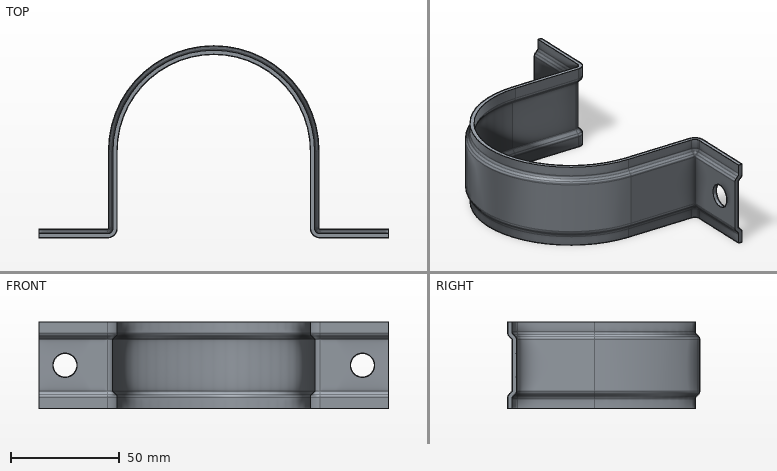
import cadquery as cq
import math

overall_length = 161.0
strap_width = 40.0
thickness = 2.0
band_offset = 2.1
rim_inner_radius = 44.5
foot_depth = 40.0
rim_width = 5.2
step_angle = 45.0
step_radius = 2.0
step_inner_radius = 0.4
corner_inner_radius = 0.4
hole_diameter = 11.0
hole_end_distance = 12.0

half_length = overall_length / 2
half_width = strap_width / 2
front_y = -foot_depth
rim_bend_radius = corner_inner_radius + thickness + band_offset
step_rise = band_offset / math.tan(math.radians(step_angle))
corner_shift = thickness * math.tan(math.radians(step_angle / 2))
back_corner_z = half_width - rim_width
front_corner_z = back_corner_z - corner_shift


def face_outline(y, corner_z):
    """Lower to upper corner points (y, z) of one face of the strip, whose rims lie at y."""
    upper = [(y + band_offset, corner_z - step_rise), (y, corner_z), (y, half_width)]
    lower = [(py, -pz) for py, pz in reversed(upper)]
    return lower + upper


def round_corners(section, points, radius):
    """Fillet the section corners nearest to the given (y, z) points."""
    for y, z in points:
        corner = cq.selectors.NearestToPointSelector((y, z, 0))
        section.reset().vertices(corner).fillet(radius)


def strip_section():
    """Cross-section of the strip at the left foot end, with all step bends rounded."""
    front = face_outline(front_y, front_corner_z)
    back = face_outline(front_y + thickness, back_corner_z)
    section = cq.Sketch().polygon(front + back[::-1] + front[:1])

    _, front_rim_low, front_band_low, front_band_high, front_rim_high, _ = front
    back_step_corners = back[1:-1]
    round_corners(section, [front_rim_low, front_rim_high] + back_step_corners, step_radius)
    round_corners(section, [front_band_low, front_band_high], step_inner_radius)
    return cq.Workplane("YZ", origin=(-half_length, 0, 0)).placeSketch(section.reset())


def strap_path():
    """Line along the front and bore faces of the rims, from foot over the half circle to foot."""
    bend_x = rim_inner_radius + rim_bend_radius
    bend_y = front_y + rim_bend_radius
    bend_mid_x = bend_x - rim_bend_radius * math.sqrt(0.5)
    bend_mid_y = bend_y - rim_bend_radius * math.sqrt(0.5)
    return (
        cq.Workplane("XY")
        .moveTo(-half_length, front_y)
        .lineTo(-bend_x, front_y)
        .threePointArc((-bend_mid_x, bend_mid_y), (-rim_inner_radius, bend_y))
        .lineTo(-rim_inner_radius, 0)
        .threePointArc((0, rim_inner_radius), (rim_inner_radius, 0))
        .lineTo(rim_inner_radius, bend_y)
        .threePointArc((bend_mid_x, bend_mid_y), (bend_x, front_y))
        .lineTo(half_length, front_y)
    )


def bolt_holes():
    """Cutters for the bolt hole through the middle of each foot, along Y."""
    hole_x = half_length - hole_end_distance
    return (
        cq.Workplane("XZ", origin=(0, front_y, 0))
        .pushPoints([(-hole_x, 0), (hole_x, 0)])
        .circle(hole_diameter / 2)
        .extrude(-rim_bend_radius)
    )


result = strip_section().sweep(strap_path()).cut(bolt_holes())